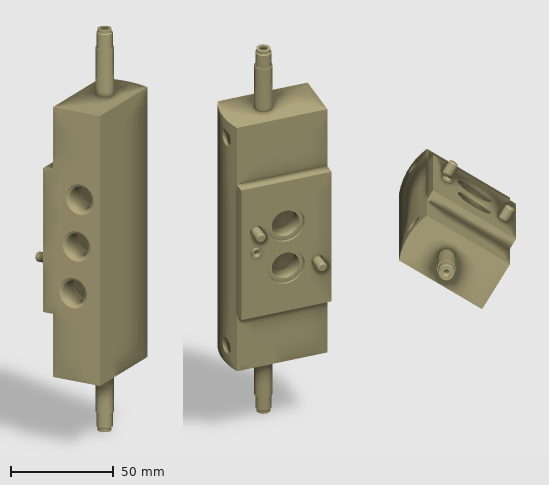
import cadquery as cq

total_height = 208.0

right_x = 13.0
bar_left_x = -right_x
block_left_x = -18.7
front_y = -28.3
flat_back_y = 19.0
crown_y = 21.5
block_half_height = 37.2
bar_half_height = 69.9

stem_x = -0.2
stem_y = 0.1
stem_diameter = 9.0
collar_diameter = 8.0
collar_start_z = 94.5
collar_end_z = 102.3
collar_chamfer = 0.5
tip_diameter = 6.9
socket_diameter = 4.2
socket_depth = 2.0
socket_cone_depth = 1.2

front_port_diameter = 12.5
front_port_mouth_diameter = 15.5
front_port_mouth_depth = 1.0
front_port_depth = 12.5
front_port_pitch_z = 24.5
front_port_step_x = 1.9

left_port_y = -4.8
left_port_z = 12.0
left_port_diameter = 14.4
left_port_depth = 9.2
seal_recess_diameter = 19.0
seal_recess_depth = 1.5

crown_recess_diameter = 8.5
crown_recess_depth = 2.0
crown_recess_x = -4.2
crown_recess_z = 59.7

screw_offset_y = 16.0
screw_diameter = 5.0
screw_chamfer = 0.6
screw_projection = 7.3
screw_relief_diameter = 6.2
screw_relief_depth = 6.2

pin_y = left_port_y + screw_offset_y
pin_diameter = 5.0
pin_hole_diameter = 5.5
pin_hole_depth = 5.0
pin_projection = 1.2
pin_socket_diameter = 2.5
pin_socket_mouth_diameter = 3.7
pin_socket_angle = 90
pin_socket_depth = 2.5


def crowned_bar():
    """Bar along Z, flat in front, with an arc across its back."""
    outline = (
        cq.Workplane("XY", origin=(0, 0, -bar_half_height))
        .moveTo(bar_left_x, front_y)
        .lineTo(right_x, front_y)
        .lineTo(right_x, flat_back_y)
        .threePointArc((0, crown_y), (bar_left_x, flat_back_y))
        .close()
    )
    return outline.extrude(2 * bar_half_height)


def middle_block():
    """Flat-backed block around the middle of the bar."""
    size_x = right_x - block_left_x
    size_y = flat_back_y - front_y
    block = cq.Workplane("XY").box(size_x, size_y, 2 * block_half_height, centered=(False, False, True))
    return block.translate((block_left_x, front_y, 0))


def upper_stem():
    """Turned stem whose root is the top of the bar."""
    tip_z = total_height / 2
    socket_bottom_z = tip_z - socket_depth
    collar_radius = collar_diameter / 2
    half_section = (
        cq.Workplane("XZ")
        .polyline([
            (0, bar_half_height),
            (stem_diameter / 2, bar_half_height),
            (stem_diameter / 2, collar_start_z),
            (collar_radius, collar_start_z),
            (collar_radius, collar_end_z - collar_chamfer),
            (collar_radius - collar_chamfer, collar_end_z),
            (tip_diameter / 2, collar_end_z),
            (tip_diameter / 2, tip_z),
            (socket_diameter / 2, tip_z),
            (socket_diameter / 2, socket_bottom_z),
            (0, socket_bottom_z - socket_cone_depth),
        ])
        .close()
    )
    stem = half_section.revolve(360, (0, 0, 0), (0, 1, 0))
    return stem.translate((stem_x, stem_y, 0))


def front_port(x, z):
    """Flat-bottomed bore with a conical mouth, entering from the front face."""
    bore_radius = front_port_diameter / 2
    half_section = (
        cq.Workplane("XY")
        .polyline([
            (0, 0),
            (front_port_mouth_diameter / 2, 0),
            (bore_radius, front_port_mouth_depth),
            (bore_radius, front_port_depth),
            (0, front_port_depth),
        ])
        .close()
    )
    port = half_section.revolve(360, (0, 0, 0), (0, 1, 0))
    return port.translate((x, front_y, z))


def rod_along_x(y, z, start_x, end_x, diameter):
    section = cq.Workplane("YZ", origin=(start_x, y, z)).circle(diameter / 2)
    return section.extrude(end_x - start_x)


def left_face_hole(y, z, diameter, depth):
    return rod_along_x(y, z, block_left_x, block_left_x + depth, diameter)


def left_port(z):
    port = left_face_hole(left_port_y, z, left_port_diameter, left_port_depth)
    recess = left_face_hole(left_port_y, z, seal_recess_diameter, seal_recess_depth)
    return port.union(recess)


def crown_recess(z):
    """Round recess that enters the crown along Y."""
    section = cq.Workplane("XZ", origin=(crown_recess_x, crown_y, z)).circle(crown_recess_diameter / 2)
    return section.extrude(crown_recess_depth)


def screw_place(side):
    """Y and Z of the upper rear screw (side = 1) or the lower front screw (side = -1)."""
    return left_port_y + side * screw_offset_y, side * left_port_z


def screw_hole(side):
    y, z = screw_place(side)
    hole = left_face_hole(y, z, screw_diameter, right_x - block_left_x)
    relief = left_face_hole(y, z, screw_relief_diameter, screw_relief_depth)
    return hole.union(relief)


def make_housing():
    housing = crowned_bar().union(middle_block())
    stem = upper_stem()
    housing = housing.union(stem).union(stem.mirror("XY"))
    for step in (-1, 0, 1):
        housing = housing.cut(front_port(step * front_port_step_x, step * front_port_pitch_z))
    for side in (1, -1):
        housing = housing.cut(left_port(side * left_port_z))
        housing = housing.cut(screw_hole(side))
        housing = housing.cut(crown_recess(side * crown_recess_z))
    return housing.cut(left_face_hole(pin_y, 0, pin_hole_diameter, pin_hole_depth))


def make_screw(side):
    y, z = screw_place(side)
    screw = rod_along_x(y, z, block_left_x - screw_projection, right_x, screw_diameter)
    return screw.faces("<X").chamfer(screw_chamfer)


def make_index_pin():
    start_x = block_left_x - pin_projection
    end_x = block_left_x + pin_hole_depth
    pin = rod_along_x(pin_y, 0, start_x, end_x, pin_diameter)
    return pin.faces("<X").workplane().cskHole(
        pin_socket_diameter, pin_socket_mouth_diameter, pin_socket_angle, pin_socket_depth
    )


housing = make_housing()
screws = [make_screw(side) for side in (1, -1)]
index_pin = make_index_pin()

result = cq.Compound.makeCompound([
    housing.val(),
    *[screw.val() for screw in screws],
    index_pin.val(),
])